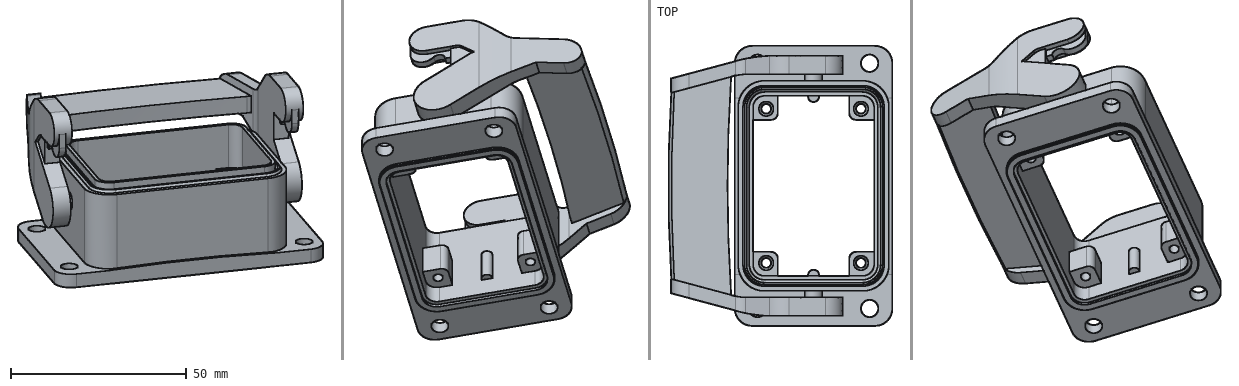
import cadquery as cq
import math

OVERALL_X = 64.0
OVERALL_Z = 47.6

LIP_HEIGHT = 1.0
LIP_INSET = 1.1
LIP_CHAMFER = 0.2
LIP_WIDTH = 2.1
FLANGE_X = 45.0
FLANGE_Y = 80.0
FLANGE_THICKNESS = 4.1
FLANGE_CORNER = 5.0
MOUNT_PITCH_X = 32.0
MOUNT_PITCH_Y = 70.0
MOUNT_HOLE = 4.9
SWELL_HALF_LENGTH = 25.2
SWELL_HEIGHT = 0.6

HOUSING_X = 43.0
HOUSING_Y = 60.0
HOUSING_CORNER = 7.5
HOUSING_TOP = 27.6
WALL_X = 4.2
WALL_Y = 4.3
RIM_INSET = 3.2
RIM_TOP = 30.1
RIDGE_HEIGHT = 0.8
RIDGE_INSET = 1.4
RIDGE_RUN_OUT = 0.5
RIDGE_RUN_IN = 0.8

POST_X = 7.1
POST_Y = 6.9
POST_CORNER = 2.0
POST_BOTTOM = 7.0
POST_HEIGHT = 10.0
SCREW_PITCH_X = 27.0
SCREW_PITCH_Y = 44.0
SCREW_HOLE = 2.7
SINK_DIAMETER = 4.2
SINK_ANGLE = 90.0
RIB_RADIUS = 1.6
RIB_PROJECTION = 1.8

PIVOT_Z = 18.8
PIN_DIAMETER = 5.0
PIVOT_RADIUS = 7.0
ARM_TILT = 32.0
ARM_INNER_Y = 31.8
ARM_OUTER_Y = 37.1
GRIP_RADIUS = 5.0
GRIP_X = -35.7
GRIP_Z = 33.1
HOOK_X = 3.3
HOOK_RADIUS = 5.0
CROTCH_X = -10.6
CREST_X = -10.2
HOOK_SLOPE = 42.0
GRIP_FILLET = 4.4
CREST_FILLET = 8.2
NECK_FILLET = 2.8

BEND_ANGLE = 15.0
BEND_X = -16.6
BENT_THICKNESS = 4.0
BEND_OUTER_RADIUS = 35.2
BEND_INNER_RADIUS = 13.6

WEB_EDGE_X = -3.7
WEB_OUTER_Y = 36.3
NOSE_INNER_Y = 33.7
NOSE_OUTER_Y = 35.7
NOSE_RADIUS = 3.9
NOSE_BOTTOM = 34.5
NOTCH_RADIUS = 1.9

BAR_WIDTH = 17.0
BAR_HEIGHT = 5.0
BAR_BOW_RADIUS = 480.0
BAR_NOSE_DEPTH = 1.0

FLANGE_TOP = LIP_HEIGHT + FLANGE_THICKNESS
CAVITY_X = HOUSING_X - 2 * WALL_X
CAVITY_Y = HOUSING_Y - 2 * WALL_Y
BAR_TIP_X = FLANGE_X / 2 - OVERALL_X
HOOK_Z = OVERALL_Z - HOOK_RADIUS
HOOK_BOTTOM = HOOK_Z - HOOK_RADIUS
HOOK_END = HOOK_X + HOOK_RADIUS
GRIP_END = GRIP_X - GRIP_RADIUS
BEND_SLOPE = math.tan(math.radians(BEND_ANGLE))


def rounded_block(size_x, size_y, corner, bottom, top):
    """Upright block with rounded vertical edges, centred on the Z axis."""
    block = cq.Workplane("XY").workplane(offset=bottom).rect(size_x, size_y).extrude(top - bottom)
    return block.edges("|Z").fillet(corner)


def housing_block(inset, bottom, top):
    """Block following the housing outline at a constant inset."""
    return rounded_block(
        HOUSING_X - 2 * inset, HOUSING_Y - 2 * inset, HOUSING_CORNER - inset, bottom, top)


def extrude_in_y(sketch, y_start, y_end):
    """Extrude an outline drawn in XZ between two Y positions."""
    return sketch.extrude(y_start - y_end).translate((0, y_start, 0))


def make_flange():
    flange = rounded_block(FLANGE_X, FLANGE_Y, FLANGE_CORNER, LIP_HEIGHT, FLANGE_TOP)
    swell = (
        cq.Workplane("YZ")
        .moveTo(-SWELL_HALF_LENGTH, FLANGE_TOP)
        .threePointArc((0, FLANGE_TOP + SWELL_HEIGHT), (SWELL_HALF_LENGTH, FLANGE_TOP))
        .close()
        .extrude(FLANGE_X / 2, both=True)
    )
    holes = (
        cq.Workplane("XY")
        .rect(MOUNT_PITCH_X, MOUNT_PITCH_Y, forConstruction=True)
        .vertices()
        .circle(MOUNT_HOLE / 2)
        .extrude(FLANGE_TOP)
    )
    return flange.union(swell).cut(holes)


def tapered_housing_block(inset, height, run):
    """Block standing on the housing top whose sides lean inwards by run."""
    foot = (
        cq.Sketch()
        .rect(HOUSING_X - 2 * inset, HOUSING_Y - 2 * inset)
        .vertices()
        .fillet(HOUSING_CORNER - inset)
    )
    taper = math.degrees(math.atan2(run, height))
    housing_top = cq.Workplane("XY").workplane(offset=HOUSING_TOP)
    return housing_top.placeSketch(foot).extrude(height, taper=taper)


def make_seal_ridge():
    ridge = tapered_housing_block(RIDGE_INSET, RIDGE_HEIGHT, RIDGE_RUN_OUT)
    valley = tapered_housing_block(RIM_INSET, RIDGE_HEIGHT, -RIDGE_RUN_IN)
    return ridge.cut(valley)


def make_housing():
    lip = housing_block(LIP_INSET, 0, LIP_HEIGHT).faces("<Z").chamfer(LIP_CHAMFER)
    lip_opening = housing_block(LIP_INSET + LIP_WIDTH, 0, LIP_HEIGHT)
    walls = housing_block(0, LIP_HEIGHT, HOUSING_TOP)
    rim = housing_block(RIM_INSET, HOUSING_TOP, RIM_TOP)
    cavity = rounded_block(CAVITY_X, CAVITY_Y, HOUSING_CORNER - WALL_X, 0, RIM_TOP)
    shell = make_flange().union(lip).union(walls).union(make_seal_ridge()).union(rim)
    return shell.cut(cavity).cut(lip_opening)


def make_screw_post():
    """Post with a countersunk screw hole in the +X +Y corner."""
    wall_overlap = WALL_X / 2
    post = (
        cq.Workplane("XY")
        .box(POST_X + wall_overlap, POST_Y + wall_overlap, POST_HEIGHT, centered=False)
        .edges("|Z and <X and <Y")
        .fillet(POST_CORNER)
        .translate((CAVITY_X / 2 - POST_X, CAVITY_Y / 2 - POST_Y, POST_BOTTOM))
    )
    post = post.intersect(housing_block(wall_overlap, 0, RIM_TOP))
    return (
        post.faces(">Z")
        .workplane(origin=(SCREW_PITCH_X / 2, SCREW_PITCH_Y / 2, 0))
        .cskHole(SCREW_HOLE, SINK_DIAMETER, SINK_ANGLE)
    )


def make_rib():
    """Half-round upright rib on the inside of the +Y wall, below the pivot."""
    rib_y = CAVITY_Y / 2 - RIB_PROJECTION + RIB_RADIUS
    return (
        cq.Workplane("XY")
        .workplane(offset=POST_BOTTOM)
        .center(0, rib_y)
        .circle(RIB_RADIUS)
        .extrude(POST_HEIGHT)
    )


def make_arm_side():
    """Side shape of an arm: grip end, hook and pivot end."""
    tilt = math.radians(ARM_TILT)
    offset_x = PIVOT_RADIUS * math.sin(tilt)
    offset_z = PIVOT_RADIUS * math.cos(tilt)
    grip_top = GRIP_Z + GRIP_RADIUS
    grip_bottom = GRIP_Z - GRIP_RADIUS
    slope_foot_x = CREST_X - (OVERALL_Z - grip_top) / math.tan(math.radians(HOOK_SLOPE))
    underside_x = -offset_x - (grip_bottom - PIVOT_Z + offset_z) / math.tan(tilt)
    crotch_z = PIVOT_Z + offset_z + (offset_x - CROTCH_X) * math.tan(tilt)
    neck_x = CROTCH_X + (HOOK_BOTTOM - crotch_z) / math.tan(math.radians(HOOK_SLOPE))

    arm = (
        cq.Workplane("XZ")
        .moveTo(GRIP_X, grip_top)
        .lineTo(slope_foot_x, grip_top)
        .lineTo(CREST_X, OVERALL_Z)
        .lineTo(HOOK_X, OVERALL_Z)
        .threePointArc((HOOK_END, HOOK_Z), (HOOK_X, HOOK_BOTTOM))
        .lineTo(neck_x, HOOK_BOTTOM)
        .lineTo(CROTCH_X, crotch_z)
        .lineTo(offset_x, PIVOT_Z + offset_z)
        .threePointArc(
            (PIVOT_RADIUS * math.cos(tilt), PIVOT_Z - PIVOT_RADIUS * math.sin(tilt)),
            (-offset_x, PIVOT_Z - offset_z))
        .lineTo(underside_x, grip_bottom)
        .lineTo(GRIP_X, grip_bottom)
        .threePointArc((GRIP_END, GRIP_Z), (GRIP_X, grip_top))
        .close()
    )
    arm = extrude_in_y(arm, 0, ARM_OUTER_Y)
    rounded_corners = (
        (slope_foot_x, grip_top, GRIP_FILLET),
        (CREST_X, OVERALL_Z, CREST_FILLET),
        (neck_x, HOOK_BOTTOM, NECK_FILLET),
    )
    for x, z, radius in rounded_corners:
        corner = cq.selectors.NearestToPointSelector((x, ARM_OUTER_Y / 2, z))
        arm = arm.edges("|Y").edges(corner).fillet(radius)
    return arm


def outer_bend_y(x):
    """Y of the outer face of the bent part of the +Y arm."""
    return ARM_OUTER_Y - (BEND_X - x) * BEND_SLOPE


def make_arm_plan():
    """Plan of the +Y arm: straight by the housing, bent inwards to the grip."""
    bent_width = BENT_THICKNESS / math.cos(math.radians(BEND_ANGLE))
    inner_bend_x = BEND_X - (ARM_OUTER_Y - bent_width - ARM_INNER_Y) / BEND_SLOPE
    plan = (
        cq.Workplane("XY")
        .moveTo(HOOK_END, ARM_INNER_Y)
        .lineTo(HOOK_END, ARM_OUTER_Y)
        .lineTo(BEND_X, ARM_OUTER_Y)
        .lineTo(GRIP_END, outer_bend_y(GRIP_END))
        .lineTo(GRIP_END, outer_bend_y(GRIP_END) - bent_width)
        .lineTo(inner_bend_x, ARM_INNER_Y)
        .close()
        .extrude(OVERALL_Z)
    )
    bends = (
        (BEND_X, ARM_OUTER_Y, BEND_OUTER_RADIUS),
        (inner_bend_x, ARM_INNER_Y, BEND_INNER_RADIUS),
    )
    for x, y, radius in bends:
        corner = cq.selectors.NearestToPointSelector((x, y, OVERALL_Z / 2))
        plan = plan.edges("|Z").edges(corner).fillet(radius)
    return plan


def make_web():
    """Thinner web filling the gap between the hook and the lower arm."""
    web = (
        cq.Workplane("XZ")
        .moveTo(CROTCH_X, PIVOT_Z)
        .lineTo(WEB_EDGE_X, PIVOT_Z)
        .lineTo(WEB_EDGE_X, HOOK_BOTTOM)
        .lineTo(CROTCH_X, HOOK_BOTTOM)
        .close()
    )
    return extrude_in_y(web, ARM_INNER_Y, WEB_OUTER_Y)


def make_latching_nose():
    """Nose under the hook, running into a round notch through an S-curve."""
    nose_x = HOOK_END - NOSE_RADIUS
    nose_z = NOSE_BOTTOM + NOSE_RADIUS
    reach = NOSE_RADIUS + NOTCH_RADIUS
    notch_x = nose_x - math.sqrt(reach ** 2 - NOSE_RADIUS ** 2)
    blend = NOTCH_RADIUS / reach
    blend_x = notch_x + (nose_x - notch_x) * blend
    blend_z = NOSE_BOTTOM + NOSE_RADIUS * blend
    nose = (
        cq.Workplane("XZ")
        .moveTo(WEB_EDGE_X, HOOK_Z)
        .lineTo(WEB_EDGE_X, NOSE_BOTTOM)
        .lineTo(notch_x - NOTCH_RADIUS, NOSE_BOTTOM)
        .threePointArc((notch_x, NOSE_BOTTOM + NOTCH_RADIUS), (blend_x, blend_z))
        .threePointArc((nose_x, NOSE_BOTTOM), (HOOK_END, nose_z))
        .lineTo(HOOK_END, HOOK_Z)
        .close()
    )
    return extrude_in_y(nose, NOSE_INNER_Y, NOSE_OUTER_Y)


def make_pivot_pin():
    """Pin joining the +Y arm to the housing wall."""
    pin = cq.Workplane("XZ").center(0, PIVOT_Z).circle(PIN_DIAMETER / 2)
    return extrude_in_y(pin, CAVITY_Y / 2, WEB_OUTER_Y)


def arm_middle_y(x):
    """Y of the middle of the bent part of the +Y arm."""
    return outer_bend_y(x) - BENT_THICKNESS / 2


def make_grip_bar():
    """Bar with a rounded front, bowed about a distant upright axis."""
    axis_x = BAR_TIP_X + BAR_BOW_RADIUS
    front = BAR_TIP_X + BAR_NOSE_DEPTH
    back = BAR_TIP_X + BAR_WIDTH
    bar_top = GRIP_Z + BAR_HEIGHT / 2
    bar_bottom = GRIP_Z - BAR_HEIGHT / 2
    bowed_ring = (
        cq.Workplane("XZ")
        .moveTo(front, bar_bottom)
        .threePointArc((BAR_TIP_X, GRIP_Z), (front, bar_top))
        .lineTo(back, bar_top)
        .lineTo(back, bar_bottom)
        .close()
        .revolve(360, (axis_x, 0, 0), (axis_x, 1, 0))
    )
    region_end = back + BAR_NOSE_DEPTH
    between_arms = (
        cq.Workplane("XY")
        .moveTo(BAR_TIP_X, -arm_middle_y(BAR_TIP_X))
        .lineTo(region_end, -arm_middle_y(region_end))
        .lineTo(region_end, arm_middle_y(region_end))
        .lineTo(BAR_TIP_X, arm_middle_y(BAR_TIP_X))
        .close()
        .extrude(OVERALL_Z)
    )
    return bowed_ring.intersect(between_arms)


def make_arm():
    arm = make_arm_side().intersect(make_arm_plan())
    return arm.union(make_web()).union(make_latching_nose()).union(make_pivot_pin())


def both_ends(body):
    """Body together with its mirror image at the opposite Y end."""
    return body.union(body.mirror("XZ"))


screw_post = make_screw_post()
end_posts = screw_post.union(screw_post.mirror("YZ"))

result = (
    make_housing()
    .union(both_ends(end_posts))
    .union(both_ends(make_rib()))
    .union(both_ends(make_arm()))
    .union(make_grip_bar())
)